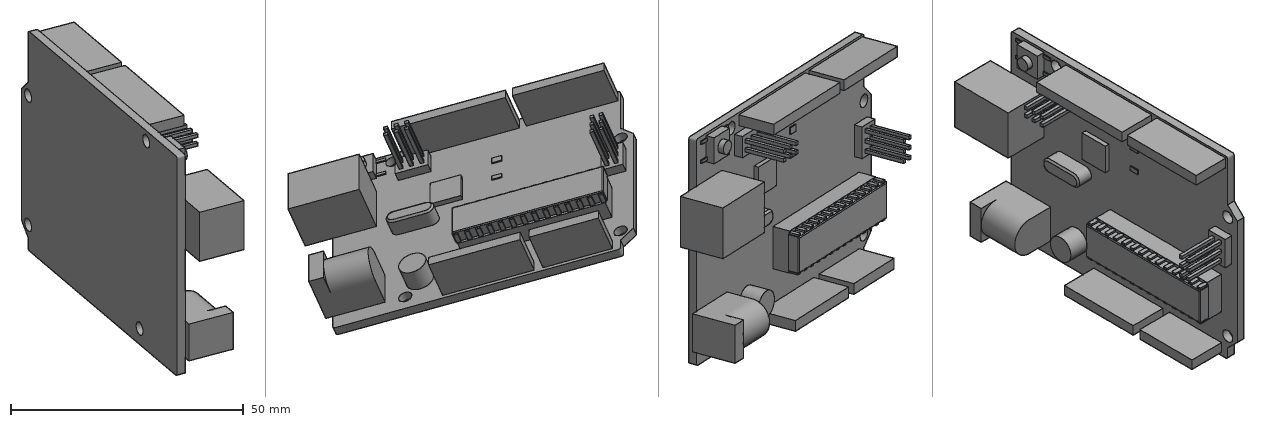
import cadquery as cq


BOARD_RIGHT = 68.5
BOARD_HEIGHT = 53.5
BOARD_THICKNESS = 2.0
TONGUE_DEPTH = 2.9
TONGUE_BOTTOM = 5.9
TONGUE_TOP = 38.0
CORNER_RADIUS = 0.6
MOUNTING_HOLE_DIAMETER = 3.0
MOUNTING_HOLES = [
    (TONGUE_DEPTH, 6.1),
    (TONGUE_DEPTH, 37.6),
    (52.0, 3.9),
    (54.9, 50.95),
]

PIN_PITCH = 2.55
SOCKET_END_WALL = 0.5
SOCKET_WIDTH = PIN_PITCH
SOCKET_TOP = 11.0
SOCKET_EDGE_GAP = 0.5
LOWER_SOCKET_BOTTOM = 0.9
UPPER_SOCKETS = [(3.5, 8), (25.95, 10)]
LOWER_SOCKETS = [(4.8, 6), (22.6, 8)]

LEFT_PIN_HEADER = (4.2, 29.6)
UPPER_PIN_HEADER = (49.8, 46.45)
PIN_HEADER_TOP = 4.05
PIN_TIP = 14.0
PIN_WIDTH = 0.8
PIN_SPACING = {2: 2.1, 3: 2.4}
PIN_HEADER_SIZE = {2: 5.0, 3: 7.5}

USB_RIGHT = 74.8
USB_LENGTH = 16.2
USB_BOTTOM = 30.45
USB_WIDTH = 12.0
CONNECTOR_TOP = 12.95
JACK_RIGHT = 70.1
JACK_LENGTH = 13.55
JACK_FLANGE = 3.4
JACK_BOTTOM = 4.0
JACK_WIDTH = 9.0

CHIP_LEFT = 4.4
CHIP_LENGTH = 34.55
CHIP_OVERHANG = 0.45
CHIP_SOCKET_TOP = 6.3
CHIP_TOP = 9.0
CHIP_CENTER_Z = 16.5
CHIP_SOCKET_WIDTH = 9.95
CHIP_LEG_SPAN = 9.5
CHIP_LEG_THICKNESS = 0.45
CHIP_LEG_TOP = 8.5
CHIP_LEG_WIDTH = 1.05
CHIP_LEGS_PER_SIDE = 14
CHIP_CHAMFER = 0.2

BUTTON_X = 61.6
BUTTON_Z = 49.8
BUTTON_SIZE = 6.1
BUTTON_TOP = 4.05
BUTTON_CAP_DIAMETER = 3.15
BUTTON_CAP_TOP = 5.45
BUTTON_LEG_SPAN = 10.5
BUTTON_LEG_WIDTH = 0.75
BUTTON_LEG_SPACING = 4.5

CRYSTAL_RIGHT = 55.05
CRYSTAL_LENGTH = 10.85
CRYSTAL_WIDTH = 3.6
CRYSTAL_CENTER_Z = 27.4
CRYSTAL_TOP = 6.05
CRYSTAL_CHAMFER = 0.45

CAPACITOR_DIAMETER = 6.2
CAPACITOR_X = 48.6
CAPACITOR_Z = 8.3
CAPACITOR_TOP = 6.95

FLAT_CHIP_SIZE = 7.0
FLAT_CHIP_LEFT = 38.9
FLAT_CHIP_BOTTOM = 31.6
FLAT_CHIP_TOP = 3.15
PAD_THICKNESS = 0.3
PAD_LEFT = 29.9
PAD_LENGTH = 2.25
PADS = [(40.85, 1.6), (35.2, 1.1)]


def block(left, bottom, length, height, top, base=BOARD_THICKNESS):
    """Box from its lower-left corner in XZ, reaching from base to top along Y."""
    box = cq.Workplane("XY").box(length, top - base, height, centered=False)
    return box.translate((left, base, bottom))


def centered_block(x, z, length, height, top, base=BOARD_THICKNESS):
    """Box centred on (x, z), reaching from base to top along Y."""
    return block(x - length / 2, z - height / 2, length, height, top, base)


def face_plane(y):
    """Work plane at height y whose local axes are X and Z, extruding toward -Y."""
    return cq.Workplane("XZ", origin=(0, y, 0))


def cylinder(x, z, diameter, top):
    return face_plane(top).center(x, z).circle(diameter / 2).extrude(top - BOARD_THICKNESS)


def board():
    outline = [
        (TONGUE_DEPTH, 0),
        (BOARD_RIGHT, 0),
        (BOARD_RIGHT, BOARD_HEIGHT),
        (TONGUE_DEPTH, BOARD_HEIGHT),
        (TONGUE_DEPTH, TONGUE_TOP + TONGUE_DEPTH),
        (0, TONGUE_TOP),
        (0, TONGUE_BOTTOM),
        (TONGUE_DEPTH, TONGUE_BOTTOM - TONGUE_DEPTH),
    ]
    plate = face_plane(BOARD_THICKNESS).polyline(outline).close().extrude(BOARD_THICKNESS)
    outer_corners = plate.edges("|Y").edges("<Z or >Z")
    hole_centers = face_plane(BOARD_THICKNESS).pushPoints(MOUNTING_HOLES)
    holes = hole_centers.circle(MOUNTING_HOLE_DIAMETER / 2).extrude(BOARD_THICKNESS)
    return outer_corners.fillet(CORNER_RADIUS).cut(holes)


def sockets():
    upper_bottom = BOARD_HEIGHT - SOCKET_EDGE_GAP - SOCKET_WIDTH
    parts = []
    for row, bottom in ((UPPER_SOCKETS, upper_bottom), (LOWER_SOCKETS, LOWER_SOCKET_BOTTOM)):
        for left, pins in row:
            length = pins * PIN_PITCH + SOCKET_END_WALL
            parts.append(block(left, bottom, length, SOCKET_WIDTH, SOCKET_TOP))
    return parts


def pin_header(x, z, columns, rows):
    """Pin header centred on (x, z) with columns along X and rows along Z."""
    parts = [centered_block(x, z, PIN_HEADER_SIZE[columns], PIN_HEADER_SIZE[rows], PIN_HEADER_TOP)]
    for column in range(columns):
        for row in range(rows):
            pin_x = x + (column - (columns - 1) / 2) * PIN_SPACING[columns]
            pin_z = z + (row - (rows - 1) / 2) * PIN_SPACING[rows]
            parts.append(centered_block(pin_x, pin_z, PIN_WIDTH, PIN_WIDTH, PIN_TIP))
    return parts


def usb_socket():
    return block(USB_RIGHT - USB_LENGTH, USB_BOTTOM, USB_LENGTH, USB_WIDTH, CONNECTOR_TOP)


def power_jack():
    """Square flange at the right, barrel with a half-round top behind it."""
    left = JACK_RIGHT - JACK_LENGTH
    radius = JACK_WIDTH / 2
    axis_y = CONNECTOR_TOP - radius
    flange = block(JACK_RIGHT - JACK_FLANGE, JACK_BOTTOM, JACK_FLANGE, JACK_WIDTH, CONNECTOR_TOP)
    body = block(left, JACK_BOTTOM, JACK_LENGTH, JACK_WIDTH, axis_y)
    barrel_end = cq.Workplane("YZ", origin=(left, axis_y, JACK_BOTTOM + radius))
    barrel = barrel_end.circle(radius).extrude(JACK_LENGTH)
    return body.union(barrel).union(flange)


def dual_in_line_chip():
    center_x = CHIP_LEFT + CHIP_LENGTH / 2
    body_width = CHIP_LEG_SPAN - 2 * CHIP_LEG_THICKNESS
    socket_length = CHIP_LENGTH - 2 * CHIP_OVERHANG
    socket = centered_block(center_x, CHIP_CENTER_Z, socket_length, CHIP_SOCKET_WIDTH, CHIP_SOCKET_TOP)
    body = centered_block(center_x, CHIP_CENTER_Z, CHIP_LENGTH, body_width, CHIP_TOP, CHIP_SOCKET_TOP)
    chip = socket.union(body.faces(">Y").chamfer(CHIP_CHAMFER))
    for index in range(CHIP_LEGS_PER_SIDE):
        leg_x = center_x + (index - (CHIP_LEGS_PER_SIDE - 1) / 2) * PIN_PITCH
        chip = chip.union(
            centered_block(leg_x, CHIP_CENTER_Z, CHIP_LEG_WIDTH, CHIP_LEG_SPAN, CHIP_LEG_TOP, CHIP_SOCKET_TOP)
        )
    return chip


def reset_button():
    body = centered_block(BUTTON_X, BUTTON_Z, BUTTON_SIZE, BUTTON_SIZE, BUTTON_TOP)
    button = body.union(cylinder(BUTTON_X, BUTTON_Z, BUTTON_CAP_DIAMETER, BUTTON_CAP_TOP))
    for side in (-1, 1):
        leg_z = BUTTON_Z + side * BUTTON_LEG_SPACING / 2
        leg_top = BOARD_THICKNESS + PAD_THICKNESS
        button = button.union(centered_block(BUTTON_X, leg_z, BUTTON_LEG_SPAN, BUTTON_LEG_WIDTH, leg_top))
    return button


def crystal():
    center_x = CRYSTAL_RIGHT - CRYSTAL_LENGTH / 2
    center = face_plane(CRYSTAL_TOP).center(center_x, CRYSTAL_CENTER_Z)
    outline = center.slot2D(CRYSTAL_LENGTH, CRYSTAL_WIDTH)
    return outline.extrude(CRYSTAL_TOP - BOARD_THICKNESS).faces(">Y").chamfer(CRYSTAL_CHAMFER)


def flat_parts():
    parts = [block(FLAT_CHIP_LEFT, FLAT_CHIP_BOTTOM, FLAT_CHIP_SIZE, FLAT_CHIP_SIZE, FLAT_CHIP_TOP)]
    for bottom, width in PADS:
        parts.append(block(PAD_LEFT, bottom, PAD_LENGTH, width, BOARD_THICKNESS + PAD_THICKNESS))
    return parts


components = [
    *sockets(),
    *pin_header(*LEFT_PIN_HEADER, columns=2, rows=3),
    *pin_header(*UPPER_PIN_HEADER, columns=3, rows=2),
    usb_socket(),
    power_jack(),
    dual_in_line_chip(),
    reset_button(),
    crystal(),
    cylinder(CAPACITOR_X, CAPACITOR_Z, CAPACITOR_DIAMETER, CAPACITOR_TOP),
    *flat_parts(),
]

result = board()
for component in components:
    result = result.union(component)